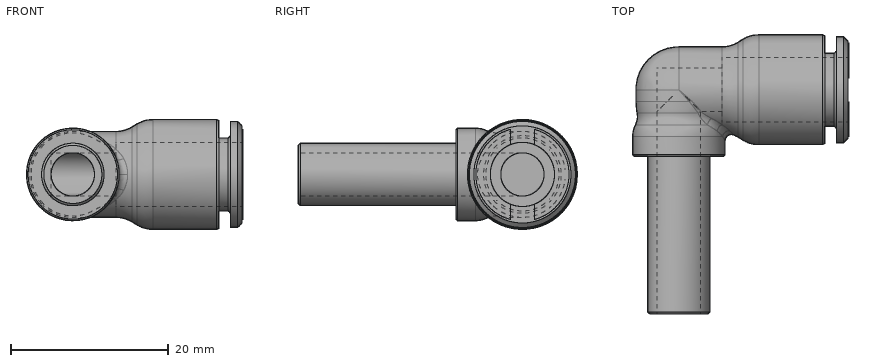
import cadquery as cq
import math


neck_radius = 5.45
bore_radius = 5.5 / 2
crotch_fillet = 0.78

shoulder_start = 5.45
shoulder_blend_length = 2.05
shoulder_cone_length = 0.6
shoulder_angle = math.radians(31)
body_radius = 14.0 / 2
body_end = 18.55
body_chamfer_length = 0.32
body_chamfer_depth = 0.15
socket_radius = 8.15 / 2
socket_floor = shoulder_start

sleeve_radius = 9.3 / 2
sleeve_bevel = 0.3
flange_radius = 13.5 / 2
flange_start = 20.02
flange_chamfer = 0.57
pad_radius = 5.93
pad_height = 0.1
pad_gap = 3.05

waist_step = 1.5
waist_radius = 5.32
flare_radius = 5.55
collar_radius = 11.8 / 2
collar_end = 8.45
collar_chamfer = 0.2
stem_radius = 7.95 / 2
stem_chamfer = 0.3

overall_x = 27.5
overall_y = 35.5
flange_face = overall_x - collar_radius - pad_height
stem_end = overall_y - body_radius


def rod_along_x(radius, start, end):
    return cq.Workplane("YZ", origin=(start, 0, 0)).circle(radius).extrude(end - start)


def socket_arm():
    blend_radius = shoulder_blend_length / math.sin(shoulder_angle)
    blend_rise = blend_radius * (1 - math.cos(shoulder_angle))
    cone_start = shoulder_start + shoulder_blend_length
    cone_end = cone_start + shoulder_cone_length
    shoulder_end = cone_end + shoulder_blend_length
    profile = (
        cq.Workplane("XY")
        .lineTo(0, neck_radius)
        .lineTo(shoulder_start, neck_radius)
        .tangentArcPoint((cone_start, neck_radius + blend_rise), relative=False)
        .lineTo(cone_end, body_radius - blend_rise)
        .tangentArcPoint((shoulder_end, body_radius), relative=False)
        .lineTo(body_end - body_chamfer_length, body_radius)
        .lineTo(body_end, body_radius - body_chamfer_depth)
        .lineTo(body_end, 0)
        .close()
    )
    return profile.revolve(360, (0, 0, 0), (1, 0, 0))


def stem_collar():
    profile = (
        cq.Workplane("XY")
        .lineTo(neck_radius, 0)
        .lineTo(neck_radius, -waist_step)
        .tangentArcPoint((waist_radius, -2 * waist_step), relative=False)
        .tangentArcPoint((flare_radius, -3 * waist_step), relative=False)
        .tangentArcPoint((collar_radius, -4 * waist_step), relative=False)
        .lineTo(collar_radius, -collar_end + collar_chamfer)
        .lineTo(collar_radius - collar_chamfer, -collar_end)
        .lineTo(0, -collar_end)
        .close()
    )
    return profile.revolve(360, (0, 0, 0), (0, 1, 0))


def elbow_shell():
    arms = socket_arm().union(stem_collar())
    seam = arms.edges("%BSPLINE or %ELLIPSE")
    outer_corner = cq.Workplane("XY").sphere(neck_radius)
    return seam.fillet(crotch_fillet).union(outer_corner)


def stem():
    tube = cq.Workplane("XZ").circle(stem_radius).extrude(stem_end)
    return tube.faces("<Y").chamfer(stem_chamfer)


def release_sleeve():
    profile = (
        cq.Workplane("XY")
        .moveTo(body_end, 0)
        .lineTo(body_end, sleeve_radius)
        .lineTo(flange_start - sleeve_bevel, sleeve_radius)
        .lineTo(flange_start, sleeve_radius + sleeve_bevel)
        .lineTo(flange_start, flange_radius)
        .lineTo(flange_face - flange_chamfer, flange_radius)
        .lineTo(flange_face, flange_radius - flange_chamfer)
        .lineTo(flange_face, 0)
        .close()
    )
    return profile.revolve(360, (0, 0, 0), (1, 0, 0))


def release_pads():
    disc = rod_along_x(pad_radius, flange_face, flange_face + pad_height)
    gap = (
        cq.Workplane("YZ", origin=(flange_face, 0, 0))
        .rect(pad_gap, 2 * pad_radius)
        .extrude(pad_height)
    )
    return disc.cut(gap)


def passages():
    stem_bore = cq.Workplane("XZ").circle(bore_radius).extrude(stem_end)
    cross_bore = rod_along_x(bore_radius, -bore_radius, socket_floor)
    socket = rod_along_x(socket_radius, socket_floor, flange_face + pad_height)
    return stem_bore.union(cross_bore).union(socket)


outside = elbow_shell().union(stem()).union(release_sleeve()).union(release_pads())
result = outside.cut(passages())